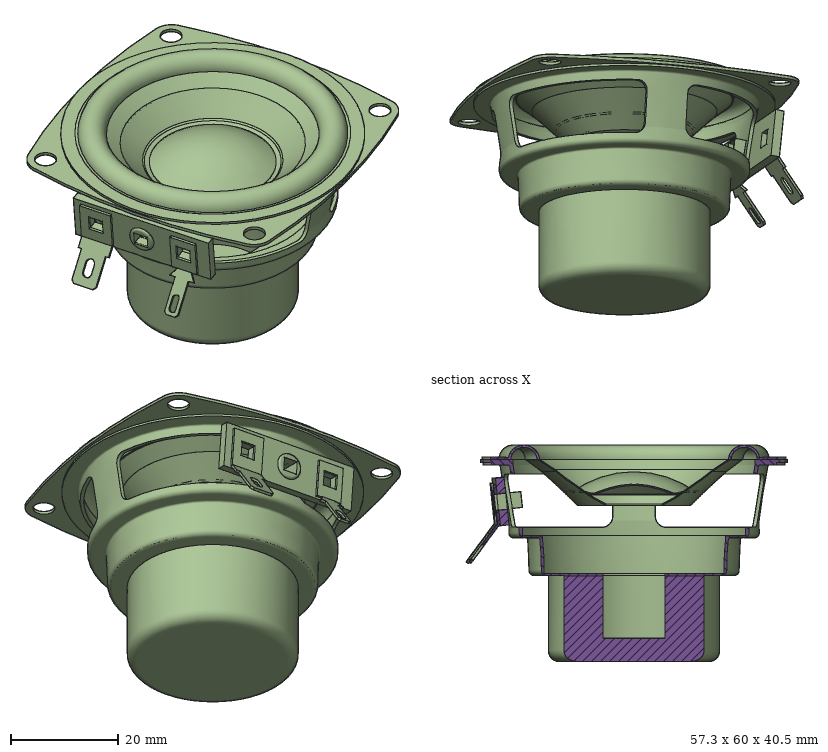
import cadquery as cq
overall_height = 40.45

pot_radius = 16.0
pot_height = 16.05
pot_edge_fillet = 2.0
bore_radius = 10.8
pot_floor = 4.4

cup_bottom_radius = 19.6
cup_top_radius = 19.9
cup_wall = 0.5
cup_floor_thickness = 0.4
cup_fillet = 1.0
ledge_bottom = 23.1
ledge_thickness = 0.4
basket_bottom_radius = 23.4
basket_top_radius = 25.05
basket_wall = 0.7
basket_fillet = 0.9
basket_slope_bottom = 26.3
inner_corner_fillet = 0.35
rim_radius = 28.2
rim_bottom = 36.7
rim_thickness = 0.45
plate_thickness = 0.6
plate_half_width = 28.65
plate_half_corner = 25.75
plate_corner_fillet = 4.0
hole_offset = 22.75
hole_diameter = 4.1
window_bottom = 25.1
window_top = 35.0
spoke_width = 8.0
window_fillet = 2.0
plate_bottom = rim_bottom + rim_thickness
plate_top = plate_bottom + plate_thickness

gasket_outer_radius = 28.4
gasket_inner_radius = 25.75
gasket_thickness = 0.45

cone_bottom = 29.1
cone_inner_radius = 10.5
cone_outer_radius = 17.3
cone_slope = 0.94
cone_thickness = 0.35

roll_centre_radius = 22.55
roll_radius = overall_height - plate_top
surround_thickness = 0.5
surround_lip_step = 0.05
flap_overlap = 0.3
flap_rise = 0.25

cap_lip_radius = 13.1
cap_lip_rise = 0.45
cap_dome_radius = 11.85
cap_dome_height = 4.0
cap_thickness = 0.3

board_tilt = 6.0
board_yaw = 1.5
board_width = 29.0
board_height = 9.0
board_thickness = 1.7
board_back = 24.0
board_centre_height = 29.95
window_size = 3.0
window_centre = 0.0
sheet = 0.5
tab_tilt = 36.5
bend_lift = 0.45
tab_length = 9.0
positive_x = -9.65
negative_x = 9.1

rivet_head_radius = 2.55
rivet_head_height = 0.5
rivet_head_fillet = 0.45
rivet_centre = 0.0
rivet_post_width = 3.5
rivet_post_height = 3.0
rivet_hole_width = 2.9
rivet_hole_height = 2.6
rivet_post_length = 3.0


def revolve(profile):
    """Turn an XZ profile, drawn as (radius, height), fully about the Z axis."""
    return profile.revolve(360, (0, 0, 0), (0, 1, 0))


def ring(inner_radius, outer_radius, bottom, height):
    outline = cq.Workplane("XY").workplane(offset=bottom).circle(outer_radius).circle(inner_radius)
    return outline.extrude(height)


def cone_top(radius):
    return cone_bottom + cone_thickness + cone_slope * (radius - cone_inner_radius)


def conical_sheet(inner_radius, inner_top, outer_radius, outer_top, thickness):
    """Conical sheet given by its top line; the thickness is measured along Z."""
    return revolve(
        cq.Workplane("XZ").polyline([
            (inner_radius, inner_top),
            (outer_radius, outer_top),
            (outer_radius, outer_top - thickness),
            (inner_radius, inner_top - thickness),
        ]).close()
    )


def place_on_board(part):
    """Move a part from the upright board frame (back face on Y = 0) to the leaning board."""
    leaning = part.rotate((0, 0, 0), (1, 0, 0), board_tilt).rotate((0, 0, 0), (0, 0, 1), board_yaw)
    return leaning.translate((0, -board_back, board_centre_height))


def block(x, z, width, height, front, back):
    """Upright block centred on X = x and Z = z that runs from Y = -front to Y = -back."""
    return cq.Workplane("XY").box(width, front - back, height).translate((x, -(front + back) / 2, z))


def make_pot():
    body = cq.Workplane("XY").circle(pot_radius).extrude(pot_height)
    body = body.faces("<Z").edges().fillet(pot_edge_fillet)
    bore = cq.Workplane("XY").workplane(offset=pot_floor).circle(bore_radius).extrude(pot_height - pot_floor)
    return body.cut(bore)


def round_circle(body, radius, height, fillet):
    """Fillet the one circular edge of a turned body that has this radius and height."""
    tolerance = 0.01
    matching = [
        edge for edge in body.edges("%CIRCLE").vals()
        if abs(edge.radius() - radius) < tolerance and abs(edge.Center().z - height) < tolerance
    ]
    return body.newObject(matching).fillet(fillet)


def make_basket():
    ledge_top = ledge_bottom + ledge_thickness
    outside = revolve(
        cq.Workplane("XZ").polyline([
            (0, pot_height),
            (cup_bottom_radius, pot_height),
            (cup_top_radius, ledge_bottom),
            (basket_bottom_radius, ledge_bottom),
            (basket_bottom_radius, basket_slope_bottom),
            (basket_top_radius, rim_bottom),
            (rim_radius, rim_bottom),
            (rim_radius, plate_bottom),
            (0, plate_bottom),
        ]).close()
    )
    outside = round_circle(outside, cup_bottom_radius, pot_height, cup_fillet)
    outside = round_circle(outside, cup_top_radius, ledge_bottom, inner_corner_fillet)
    outside = round_circle(outside, basket_bottom_radius, ledge_bottom, basket_fillet)
    outside = round_circle(outside, basket_top_radius, rim_bottom, inner_corner_fillet)
    inside = revolve(
        cq.Workplane("XZ").polyline([
            (0, pot_height + cup_floor_thickness),
            (cup_bottom_radius - cup_wall, pot_height + cup_floor_thickness),
            (cup_top_radius - cup_wall, ledge_top),
            (basket_bottom_radius - basket_wall, ledge_top),
            (basket_bottom_radius - basket_wall, basket_slope_bottom),
            (basket_top_radius - basket_wall, rim_bottom),
            (basket_top_radius - basket_wall, plate_bottom),
            (0, plate_bottom),
        ]).close()
    )
    return outside.cut(inside)


def make_plate():
    edge = plate_half_width
    corner = plate_half_corner
    outline = (
        cq.Workplane("XY").workplane(offset=plate_bottom)
        .moveTo(corner, -corner)
        .threePointArc((edge, 0), (corner, corner))
        .threePointArc((0, edge), (-corner, corner))
        .threePointArc((-edge, 0), (-corner, -corner))
        .threePointArc((0, -edge), (corner, -corner))
        .close()
    )
    plate = outline.extrude(plate_thickness).edges("|Z").fillet(plate_corner_fillet)
    opening = cq.Workplane("XY").workplane(offset=plate_bottom).circle(basket_top_radius - basket_wall)
    holes = (
        cq.Workplane("XY").workplane(offset=plate_bottom)
        .rect(2 * hole_offset, 2 * hole_offset, forConstruction=True).vertices().circle(hole_diameter / 2)
    )
    return plate.cut(opening.extrude(plate_thickness)).cut(holes.extrude(plate_thickness))


def make_windows():
    """Four openings between the spokes, rounded where they meet each spoke."""
    side = rim_radius - spoke_width / 2
    window = (
        cq.Workplane("XY").box(side, side, window_top - window_bottom, centered=False)
        .translate((spoke_width / 2, spoke_width / 2, window_bottom))
    )
    window = window.faces("<X").edges("|Y").fillet(window_fillet)
    window = window.faces("<Y").edges("|X").fillet(window_fillet)
    return [window.rotate((0, 0, 0), (0, 0, 1), 90 * i) for i in range(4)]


def make_frame():
    frame = make_basket().union(make_plate())
    for window in make_windows():
        frame = frame.cut(window)
    bore = cq.Workplane("XY").workplane(offset=pot_height).circle(bore_radius).extrude(cup_floor_thickness)
    board_seat = block(0, 0, board_width, board_height, board_thickness, 0)
    return frame.cut(bore).cut(place_on_board(make_rivet_post().union(board_seat)))


def make_cone():
    return conical_sheet(
        cone_inner_radius,
        cone_top(cone_inner_radius),
        cone_outer_radius,
        cone_top(cone_outer_radius),
        cone_thickness,
    )


def make_surround():
    inner_roll_radius = roll_radius - surround_thickness
    roll_outer_radius = roll_centre_radius + roll_radius
    roll = revolve(
        cq.Workplane("XZ")
        .moveTo(roll_centre_radius - roll_radius, plate_top)
        .threePointArc((roll_centre_radius, plate_top + roll_radius), (roll_outer_radius, plate_top))
        .lineTo(roll_centre_radius + inner_roll_radius, plate_top)
        .threePointArc(
            (roll_centre_radius, plate_top + inner_roll_radius),
            (roll_centre_radius - inner_roll_radius, plate_top),
        )
        .close()
    )
    lip_inner = roll_outer_radius - surround_thickness / 2
    lip = ring(lip_inner, gasket_inner_radius, plate_top, gasket_thickness - surround_lip_step)
    flap_outer_radius = roll_centre_radius - roll_radius + flap_overlap
    flap = conical_sheet(
        cone_outer_radius,
        cone_top(cone_outer_radius),
        flap_outer_radius,
        plate_top + flap_rise,
        cone_thickness,
    )
    return roll.union(lip).union(flap)


def make_cap():
    lip_top = cone_top(cap_lip_radius)
    rim = lip_top - cap_lip_rise
    lip = revolve(
        cq.Workplane("XZ").polyline([
            (cap_dome_radius - cap_thickness, rim),
            (cap_dome_radius, rim),
            (cap_lip_radius, lip_top),
            (cap_lip_radius - cap_thickness / cone_slope, lip_top - cap_thickness),
            (cap_dome_radius - cap_thickness, rim - cap_thickness),
        ]).close()
    )
    sphere_radius = (cap_dome_radius**2 + cap_dome_height**2) / (2 * cap_dome_height)
    sphere_centre = (0, 0, rim + cap_dome_height - sphere_radius)
    hollow = cq.Workplane("XY").sphere(sphere_radius - cap_thickness)
    shell = cq.Workplane("XY").sphere(sphere_radius).cut(hollow)
    keep = cq.Workplane("XY").workplane(offset=rim - cap_thickness).circle(cap_dome_radius)
    keep = keep.extrude(2 * cap_dome_height)
    return shell.translate(sphere_centre).intersect(keep).union(lip)


def make_terminal(x, plate_width, plate_top_margin, outline, slot_width, slot_length, slot_centre):
    """Square-holed plate flat on the board with a solder tab bent outward at its lower edge.

    The outline lists the right half of the tab as (half width, distance below the bend).
    """
    bottom = bend_lift - board_height / 2
    top = board_height / 2 - plate_top_margin
    front = board_thickness + sheet
    plate = block(x, (bottom + top) / 2, plate_width, top - bottom, front, board_thickness)
    plate = plate.cut(block(x, window_centre, window_size, window_size, front, board_thickness))
    right = [(half_width, -distance) for half_width, distance in outline]
    left = [(-half_width, -distance) for half_width, distance in reversed(outline)]
    tab = cq.Workplane("XZ").polyline(right + left).close().extrude(sheet / 2, both=True)
    slot = cq.Workplane("XZ").center(0, -slot_centre).slot2D(slot_length, slot_width, 90)
    slot = slot.extrude(sheet, both=True)
    root_half_width = outline[0][0]
    bend = cq.Workplane("YZ").circle(sheet / 2).extrude(root_half_width, both=True)
    tab = tab.cut(slot).rotate((0, 0, 0), (1, 0, 0), -(tab_tilt + board_tilt)).union(bend)
    return place_on_board(plate.union(tab.translate((x, -board_thickness - sheet / 2, bottom))))


def make_positive_terminal():
    """Wide tab with square shoulders at its root."""
    root = 3.25
    shoulder = 2.35
    half_width = 2.57
    corner = 0.6
    outline = [
        (root, 0),
        (root, shoulder),
        (half_width, shoulder),
        (half_width, tab_length - corner),
        (half_width - corner, tab_length),
    ]
    return make_terminal(
        positive_x, plate_width=6.65, plate_top_margin=0.9, outline=outline,
        slot_width=1.85, slot_length=3.6, slot_centre=5.4,
    )


def make_negative_terminal():
    """Narrow tab with pointed barbs at its root."""
    half_width = 1.4
    barb = 2.6
    barb_end = 1.8
    corner = 0.5
    outline = [
        (half_width, 0),
        (barb, barb_end),
        (half_width, barb_end),
        (half_width, tab_length - corner),
        (half_width - corner, tab_length),
    ]
    return make_terminal(
        negative_x, plate_width=5.4, plate_top_margin=1.2, outline=outline,
        slot_width=1.4, slot_length=3.4, slot_centre=6.6,
    )


def make_rivet_post():
    return block(0, rivet_centre, rivet_post_width, rivet_post_height, board_thickness, -rivet_post_length)


def make_rivet():
    head = (
        cq.Workplane("XZ").workplane(offset=board_thickness).center(0, rivet_centre)
        .circle(rivet_head_radius).extrude(rivet_head_height).faces("<Y").edges().fillet(rivet_head_fillet)
    )
    hole = block(0, rivet_centre, rivet_hole_width, rivet_hole_height,
                 board_thickness + rivet_head_height, -rivet_post_length)
    return place_on_board(head.union(make_rivet_post()).cut(hole))


def make_board():
    board = block(0, 0, board_width, board_height, board_thickness, 0)
    for x in (positive_x, negative_x):
        board = board.cut(block(x, window_centre, window_size, window_size, board_thickness, 0))
    return place_on_board(board.cut(make_rivet_post()))


pot = make_pot()
frame = make_frame()
gasket = ring(gasket_inner_radius, gasket_outer_radius, plate_top, gasket_thickness)
surround = make_surround()
cone = make_cone()
cap = make_cap()
board = make_board()
positive_terminal = make_positive_terminal()
negative_terminal = make_negative_terminal()
rivet = make_rivet()

bodies = [pot, frame, gasket, surround, cone, cap, board, positive_terminal, negative_terminal, rivet]
result = cq.Compound.makeCompound([body.val() for body in bodies])